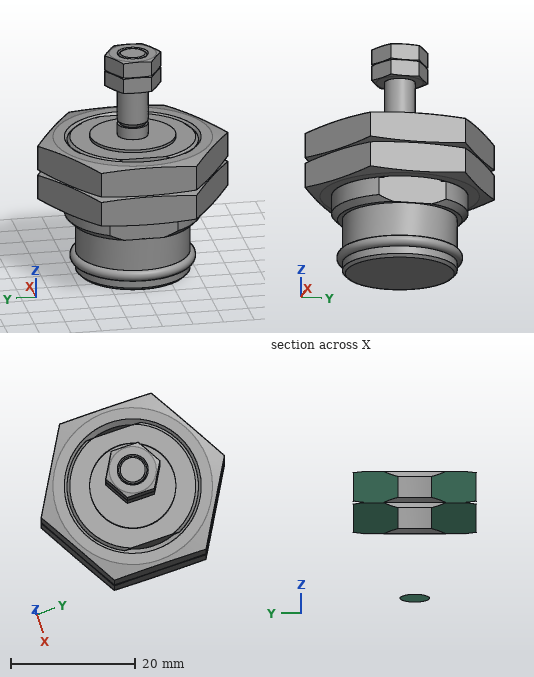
import cadquery as cq
import math

TOTAL_HEIGHT = 37.5
SHOULDER_BOTTOM = 9.05
LARGE_NUT_HEIGHT = 5.02
SMALL_NUT_HEIGHT = 2.7
NUTS_PER_STACK = 2
BODY_TOP = 23.02
DISC_HEIGHT = 0.45
STUD_GROOVE_BOTTOM = 25.42
STUD_GROOVE_TOP = 26.02
LARGE_NUTS_BOTTOM = BODY_TOP - NUTS_PER_STACK * LARGE_NUT_HEIGHT
SMALL_NUTS_BOTTOM = TOTAL_HEIGHT - NUTS_PER_STACK * SMALL_NUT_HEIGHT

PLUG_DIAMETER = 18.5
PLUG_CHAMFER = 0.5
SHOULDER_DIAMETER = 21.98
SHOULDER_CHAMFER = 0.98
THREAD_DIAMETER = 21.15
THREAD_CHAMFER = 0.45
FLATS_WIDTH = 18.98
DISC_DIAMETER = 13.88

STUD_DIAMETER = 5.0
STUD_NECK_DIAMETER = 4.12
STUD_THREAD_DIAMETER = 4.55
STUD_THREAD_CHAMFER = 0.25

RING_OUTER_DIAMETER = 20.25
RING_SECTION = 1.8
RING_HEIGHT = 2.62

LARGE_NUT_WIDTH = 27.0
LARGE_NUT_BORE = 20.35
LARGE_NUT_MOUTH = 22.0
SMALL_NUT_WIDTH = 8.0
NUT_FACE_RATIO = 0.95
NUT_CHAMFER_ANGLE = 10.0


def cylinder(diameter, bottom, top):
    return cq.Workplane("XY").workplane(offset=bottom).circle(diameter / 2).extrude(top - bottom)


def cut_flats(blank):
    """Trim a round blank to the two wrench flats facing X."""
    slab = cq.Workplane("XY").box(FLATS_WIDTH, SHOULDER_DIAMETER, 2 * TOTAL_HEIGHT)
    return blank.intersect(slab)


def make_neck():
    """Threaded neck with flats, filling the bores of the large nuts."""
    neck = cylinder(THREAD_DIAMETER, LARGE_NUTS_BOTTOM, BODY_TOP)
    return cut_flats(neck.faces(">Z").chamfer(THREAD_CHAMFER))


def make_base():
    """Round plug, shoulder with flats, and the raised disc on top of the neck."""
    plug = cylinder(PLUG_DIAMETER, 0, SHOULDER_BOTTOM).faces("<Z").chamfer(PLUG_CHAMFER)
    shoulder = cylinder(SHOULDER_DIAMETER, SHOULDER_BOTTOM, LARGE_NUTS_BOTTOM)
    shoulder = cut_flats(shoulder.faces("<Z").chamfer(SHOULDER_CHAMFER))
    disc = cylinder(DISC_DIAMETER, BODY_TOP, BODY_TOP + DISC_HEIGHT)
    return plug.union(shoulder).union(make_neck()).union(disc)


def make_stud():
    """Stud with a one-sided conical groove and a thinner threaded end."""
    radius = STUD_DIAMETER / 2
    thread_radius = STUD_THREAD_DIAMETER / 2
    return (
        cq.Workplane("XZ")
        .moveTo(0, BODY_TOP)
        .lineTo(radius, BODY_TOP)
        .lineTo(radius, STUD_GROOVE_BOTTOM)
        .lineTo(STUD_NECK_DIAMETER / 2, STUD_GROOVE_BOTTOM)
        .lineTo(radius, STUD_GROOVE_TOP)
        .lineTo(radius, SMALL_NUTS_BOTTOM)
        .lineTo(thread_radius, SMALL_NUTS_BOTTOM)
        .lineTo(thread_radius, TOTAL_HEIGHT - STUD_THREAD_CHAMFER)
        .lineTo(thread_radius - STUD_THREAD_CHAMFER, TOTAL_HEIGHT)
        .lineTo(0, TOTAL_HEIGHT)
        .close()
        .revolve(360, (0, 0, 0), (0, 1, 0))
    )


def make_ring_groove():
    """Square-sided groove that holds the O-ring."""
    bottom = RING_HEIGHT - RING_SECTION / 2
    top = RING_HEIGHT + RING_SECTION / 2
    core = cylinder(RING_OUTER_DIAMETER - 2 * RING_SECTION, bottom, top)
    return cylinder(RING_OUTER_DIAMETER, bottom, top).cut(core)


def make_o_ring():
    section_radius = RING_SECTION / 2
    centre_radius = RING_OUTER_DIAMETER / 2 - section_radius
    return (
        cq.Workplane("XZ")
        .center(centre_radius, RING_HEIGHT)
        .circle(section_radius)
        .revolve(360, (-centre_radius, 0, 0), (-centre_radius, 1, 0))
    )


def make_hex_nut(width, height, bore_diameter, mouth_diameter, bottom):
    """Hex nut with flats facing X, chamfered corners and a countersunk bore."""
    corner_radius = width / math.sqrt(3)
    face_radius = width * NUT_FACE_RATIO / 2
    corner_drop = (corner_radius - face_radius) * math.tan(math.radians(NUT_CHAMFER_ANGLE))
    bore_radius = bore_diameter / 2
    mouth_radius = mouth_diameter / 2
    mouth_depth = mouth_radius - bore_radius

    prism = cq.Workplane("XY").polygon(6, 2 * corner_radius).extrude(height)
    prism = prism.rotate((0, 0, 0), (0, 0, 1), 30)
    turned_envelope = (
        cq.Workplane("XZ")
        .moveTo(mouth_radius, 0)
        .lineTo(face_radius, 0)
        .lineTo(corner_radius, corner_drop)
        .lineTo(corner_radius, height - corner_drop)
        .lineTo(face_radius, height)
        .lineTo(mouth_radius, height)
        .lineTo(bore_radius, height - mouth_depth)
        .lineTo(bore_radius, mouth_depth)
        .close()
        .revolve(360, (0, 0, 0), (0, 1, 0))
    )
    return prism.intersect(turned_envelope).translate((0, 0, bottom))


def make_large_nut(bottom):
    """Large nut, its bore relieved to fit around the flatted neck."""
    nut = make_hex_nut(LARGE_NUT_WIDTH, LARGE_NUT_HEIGHT, LARGE_NUT_BORE, LARGE_NUT_MOUTH, bottom)
    return nut.cut(make_neck())


def make_small_nut(bottom):
    """Small nut that fits the thin end of the stud."""
    return make_hex_nut(SMALL_NUT_WIDTH, SMALL_NUT_HEIGHT, STUD_THREAD_DIAMETER, STUD_DIAMETER, bottom)


body = make_base().union(make_stud()).cut(make_ring_groove())
o_ring = make_o_ring()

large_nuts = []
small_nuts = []
for level in range(NUTS_PER_STACK):
    large_nuts.append(make_large_nut(LARGE_NUTS_BOTTOM + level * LARGE_NUT_HEIGHT))
    small_nuts.append(make_small_nut(SMALL_NUTS_BOTTOM + level * SMALL_NUT_HEIGHT))

parts = [body, o_ring, *large_nuts, *small_nuts]
result = cq.Compound.makeCompound([part.solids().val() for part in parts])